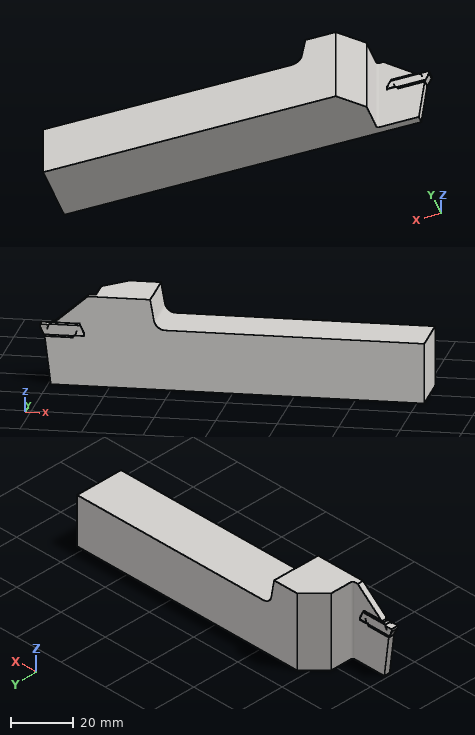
import cadquery as cq
import math

LENGTH = 125.0
SHANK_SIZE = 20.0
HEAD_HEIGHT = 30.0
HEAD_FRONT_X = 15.5
HEAD_BACK_X = 35.9
HEAD_BACK_ANGLE = math.radians(10)
HEAD_BACK_FILLET = 3.8
NOSE_X = 4.6
TOE_X = 3.5
BLADE_THICKNESS = 2.5
SHOULDER_X = 17.8
SHOULDER_CHAMFER = 7.8
BLADE_ROOT_FILLET = 0.8

CUTTING_HEIGHT = SHANK_SIZE
INSERT_LENGTH = 14.4
INSERT_TOP_Z = 20.8
INSERT_BOTTOM_Z = 16.0
LEDGE_FRONT_X = 3.2
LEDGE_BACK_X = 3.8
FRONT_LAND_HEIGHT = 1.0
HEEL_X = 1.5
INSERT_MID_X = INSERT_LENGTH / 2
INSERT_MID_Z = (INSERT_TOP_Z + INSERT_BOTTOM_Z) / 2
EDGE_BEVEL_HEIGHT = 0.6
EDGE_BEVEL_WIDTH = 0.2

PAD_OVERHANG = 0.2
PAD_HEIGHT = 1.5
PAD_LENGTH = 2.9
PAD_BASE_LENGTH = 1.9
PAD_BASE_X = 0.5


def half_turn(points):
    """Rotate XZ points by 180 degrees about the middle of the insert."""
    return [(2 * INSERT_MID_X - x, 2 * INSERT_MID_Z - z) for x, z in points]


def extrude_along_y(points, thickness):
    """Extrude an XZ outline from y = 0 toward +Y."""
    return cq.Workplane("XZ").polyline(points).close().extrude(-thickness)


def insert_envelope():
    front_half = [
        (HEEL_X, INSERT_BOTTOM_Z),
        (0, CUTTING_HEIGHT - FRONT_LAND_HEIGHT),
        (0, CUTTING_HEIGHT),
        (LEDGE_FRONT_X, CUTTING_HEIGHT),
        (LEDGE_BACK_X, INSERT_TOP_Z),
    ]
    return extrude_along_y(front_half + half_turn(front_half), BLADE_THICKNESS)


def make_pad():
    """Front cutting pad, wider than the body at its top."""
    top = CUTTING_HEIGHT
    base_back_x = PAD_BASE_X + PAD_BASE_LENGTH
    base_z = top - PAD_HEIGHT
    side = [
        (0, top - FRONT_LAND_HEIGHT),
        (0, top),
        (PAD_LENGTH, top),
        (base_back_x, base_z),
        (PAD_BASE_X, base_z),
    ]
    wide = extrude_along_y(side, BLADE_THICKNESS + 2 * PAD_OVERHANG).translate((0, -PAD_OVERHANG, 0))
    section = [
        (-PAD_OVERHANG, top),
        (BLADE_THICKNESS + PAD_OVERHANG, top),
        (BLADE_THICKNESS, base_z),
        (0, base_z),
    ]
    taper = cq.Workplane("YZ").polyline(section).close().extrude(PAD_LENGTH)
    return wide.intersect(taper)


def make_insert():
    bevelled_section = [
        (0, INSERT_BOTTOM_Z + EDGE_BEVEL_HEIGHT),
        (EDGE_BEVEL_WIDTH, INSERT_BOTTOM_Z),
        (BLADE_THICKNESS - EDGE_BEVEL_WIDTH, INSERT_BOTTOM_Z),
        (BLADE_THICKNESS, INSERT_BOTTOM_Z + EDGE_BEVEL_HEIGHT),
        (BLADE_THICKNESS, INSERT_TOP_Z - EDGE_BEVEL_HEIGHT),
        (BLADE_THICKNESS - EDGE_BEVEL_WIDTH, INSERT_TOP_Z),
        (EDGE_BEVEL_WIDTH, INSERT_TOP_Z),
        (0, INSERT_TOP_Z - EDGE_BEVEL_HEIGHT),
    ]
    bevelled_bar = cq.Workplane("YZ").polyline(bevelled_section).close().extrude(INSERT_LENGTH)
    insert = insert_envelope().intersect(bevelled_bar)
    front_pad = make_pad()
    back_pad = front_pad.rotate(
        (INSERT_MID_X, 0, INSERT_MID_Z), (INSERT_MID_X, 1, INSERT_MID_Z), 180
    )
    return insert.union(front_pad).union(back_pad)


def holder_side_profile():
    """Side outline of shank, head and nose, extruded over the full width."""
    head_rise = HEAD_HEIGHT - SHANK_SIZE
    head_root_x = HEAD_BACK_X + head_rise * math.tan(HEAD_BACK_ANGLE)
    outline = [
        (TOE_X, 0),
        (LENGTH, 0),
        (LENGTH, SHANK_SIZE),
        (head_root_x, SHANK_SIZE),
        (HEAD_BACK_X, HEAD_HEIGHT),
        (HEAD_FRONT_X, HEAD_HEIGHT),
        (NOSE_X, INSERT_TOP_Z),
        (HEEL_X, INSERT_TOP_Z),
        (HEEL_X, INSERT_BOTTOM_Z),
    ]
    body = extrude_along_y(outline, SHANK_SIZE)
    head_root = cq.selectors.NearestToPointSelector((head_root_x, SHANK_SIZE / 2, SHANK_SIZE))
    return body.edges(head_root).fillet(HEAD_BACK_FILLET)


def holder_plan():
    """Outline from above: thin blade, filleted root and chamfered shoulder."""
    plan = (
        cq.Workplane("XY")
        .moveTo(0, 0)
        .lineTo(LENGTH, 0)
        .lineTo(LENGTH, SHANK_SIZE)
        .lineTo(SHOULDER_X + SHOULDER_CHAMFER, SHANK_SIZE)
        .lineTo(SHOULDER_X, SHANK_SIZE - SHOULDER_CHAMFER)
        .lineTo(SHOULDER_X, BLADE_THICKNESS)
        .lineTo(0, BLADE_THICKNESS)
        .close()
        .extrude(HEAD_HEIGHT)
    )
    blade_root = cq.selectors.NearestToPointSelector((SHOULDER_X, BLADE_THICKNESS, HEAD_HEIGHT / 2))
    return plan.edges(blade_root).fillet(BLADE_ROOT_FILLET)


def insert_pocket():
    """Slot through the blade for the insert, open at the front of the nose."""
    mouth = (
        cq.Workplane("XY")
        .box(NOSE_X, BLADE_THICKNESS, INSERT_TOP_Z - INSERT_BOTTOM_Z, centered=False)
        .translate((0, 0, INSERT_BOTTOM_Z))
    )
    return insert_envelope().union(mouth)


def make_holder(insert):
    return holder_side_profile().intersect(holder_plan()).cut(insert_pocket()).cut(insert)


insert = make_insert()
holder = make_holder(insert)
result = cq.Compound.makeCompound([holder.val(), insert.val()])